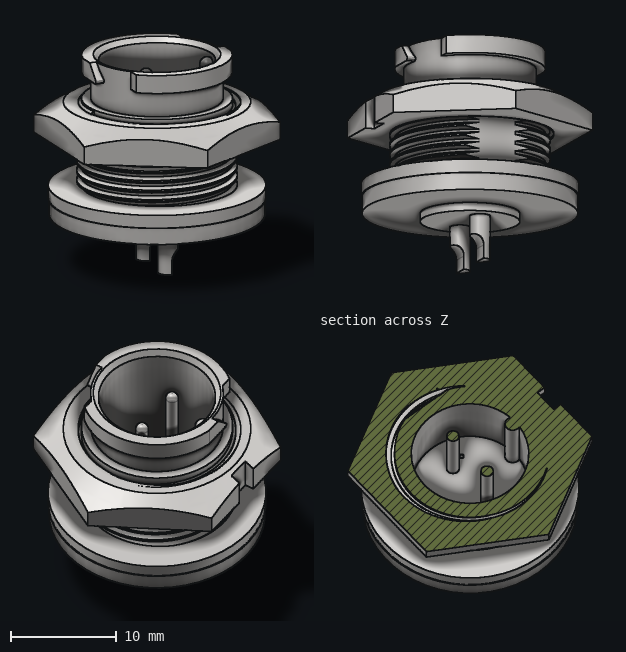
import cadquery as cq
import math

flange_height = 1.62
gasket_top = 2.9
nut_bottom = 7.69
nut_top = 11.07
body_top = 11.43
rim_bottom = 13.98
rim_top = 15.74
boss_height = 0.78
solder_pin_end = -5.06

flange_radius = 10.22
gasket_radius = 10.31
boss_radius = 4.71
barrel_radius = 6.27
rim_radius = 7.13
bore_radius = 5.53
bore_chamfer = 0.5
bore_floor = gasket_top

thread_root_radius = 7.15
thread_crest_radius = 7.6
thread_pitch = 0.94
thread_first_crest = 2.7
thread_end = 10.95
thread_root_width = 0.66
thread_crest_width = 0.16
thread_embed = 0.15
body_flat_x = -6.9

nut_across_flats = 20.32
nut_bore_radius = 7.46
nut_groove_radius = 7.93
nut_groove_width = 0.55
nut_groove_exit_angle = 95
nut_face_radius = 8.87
nut_cone_angle = 30
nut_slot_width = 2.36
nut_slot_floor = 9.27

rim_flat_offset = 6.96
rim_gap_edge = 4.6
ramp_tip_x = 1.5
ramp_tip_height = 0.25
ramp_tip_radius = 0.15

pin_spacing = 5.08
contact_radius = 0.6
contact_top = 13.67
solder_pin_radius = 0.97
solder_cup_start = -2.65
solder_cup_radius = 1.1
key_radius = 0.74
key_offset = 5.22
key_top = 14.85
pin_embed = 0.5
dome_share = 0.98

mark_radius = 0.2
mark_depth = 0.1
mark_position = (-3.06, 1.5)


def cylinder(radius, z_low, z_high):
    return cq.Workplane("XY").workplane(offset=z_low).circle(radius).extrude(z_high - z_low)


def domed_pin(x, y, radius, z_low, z_high):
    """Round pin with a nearly hemispherical top."""
    pin = cylinder(radius, z_low, z_high).faces(">Z").edges().fillet(radius * dome_share)
    return pin.translate((x, y, 0))


def thread_form(wall_radius, crest_radius, wall_width, z_start, z_end):
    """Right-handed helical thread form that starts on the +X side and widens towards the axis."""
    helix = cq.Wire.makeHelix(thread_pitch, z_end - z_start, wall_radius)
    inner = wall_radius - thread_embed
    slope = (wall_width - thread_crest_width) / 2 / (crest_radius - wall_radius)
    half_crest = thread_crest_width / 2
    half_inner = half_crest + slope * (crest_radius - inner)
    profile = (
        cq.Workplane("XZ")
        .moveTo(inner, -half_inner)
        .lineTo(crest_radius, -half_crest)
        .lineTo(crest_radius, half_crest)
        .lineTo(inner, half_inner)
        .close()
    )
    return profile.sweep(cq.Workplane(obj=helix), isFrenet=True).translate((0, 0, z_start))


def threaded_body():
    z_start = thread_first_crest - thread_pitch
    ridge = thread_form(thread_root_radius, thread_crest_radius, thread_root_width, z_start, thread_end)
    body = cylinder(thread_root_radius, flange_height, body_top).union(ridge)
    size = 2 * thread_crest_radius
    keep = cq.Workplane("XY").box(size, 2 * size, body_top - flange_height, centered=(False, True, False))
    return body.intersect(keep.translate((body_flat_x, 0, flange_height)))


def nut_groove():
    """Internal thread of the nut, running out through both end faces."""
    turns = math.ceil((nut_top - nut_bottom) / thread_pitch)
    z_start = nut_top - turns * thread_pitch
    z_end = nut_top + thread_pitch / 2
    groove = thread_form(nut_bore_radius, nut_groove_radius, nut_groove_width, z_start, z_end)
    return groove.rotate((0, 0, 0), (0, 0, 1), nut_groove_exit_angle)


def nut():
    corner_radius = nut_across_flats / math.sqrt(3)
    height = nut_top - nut_bottom
    drop = (corner_radius - nut_face_radius) * math.tan(math.radians(nut_cone_angle))
    hexagon = cq.Workplane("XY").polygon(6, 2 * corner_radius).extrude(height)
    cone = (
        cq.Workplane("XZ")
        .lineTo(corner_radius, 0)
        .lineTo(corner_radius, height - drop)
        .lineTo(nut_face_radius, height)
        .lineTo(0, height)
        .close()
        .revolve(360, (0, 0, 0), (0, 1, 0))
    )
    slot = (
        cq.Workplane("XY")
        .box(nut_slot_width, nut_across_flats, height, centered=(True, False, False))
        .translate((0, nut_slot_floor, 0))
    )
    blank = hexagon.intersect(cone).cut(slot).translate((0, 0, nut_bottom))
    return blank.cut(cylinder(nut_bore_radius, nut_bottom, nut_top)).cut(nut_groove())


def rim_gap():
    """Cutter for one bayonet entry: a ramp on one end and a plain face on the other."""
    tip_z = rim_bottom + ramp_tip_height
    outside = 2 * rim_radius
    gap = (
        cq.Workplane("XZ")
        .workplane(offset=rim_gap_edge)
        .moveTo(0, rim_top)
        .lineTo(ramp_tip_x, tip_z)
        .lineTo(ramp_tip_x - ramp_tip_height, rim_bottom)
        .lineTo(outside, rim_bottom)
        .lineTo(outside, rim_top)
        .close()
        .extrude(outside)
    )
    gap = gap.edges(cq.selectors.NearestToPointSelector((ramp_tip_x, -rim_gap_edge - rim_radius, tip_z)))
    return gap.fillet(ramp_tip_radius)


def bayonet_rim():
    height = rim_top - rim_bottom
    flats = cq.Workplane("XY").box(2 * rim_radius, 2 * rim_flat_offset, height, centered=(True, True, False))
    rim = cylinder(rim_radius, rim_bottom, rim_top).intersect(flats.translate((0, 0, rim_bottom)))
    gap = rim_gap()
    for angle in (0, 180):
        rim = rim.cut(gap.rotate((0, 0, 0), (0, 0, 1), angle))
    return rim


def bore():
    """Cutter for the bore, its chamfered mouth and the small round mark in its floor."""
    straight = cylinder(bore_radius, bore_floor, rim_top)
    mouth = (
        cq.Workplane("XY")
        .workplane(offset=rim_top)
        .circle(bore_radius + bore_chamfer)
        .workplane(offset=-bore_chamfer)
        .circle(bore_radius)
        .loft()
    )
    mark = cylinder(mark_radius, bore_floor - mark_depth, bore_floor).translate((*mark_position, 0))
    return straight.union(mouth).union(mark)


def solder_pin(x):
    """Solder tail with its +Y half cut away towards the end."""
    pin = cylinder(solder_pin_radius, solder_pin_end, 0)
    cut = (
        cq.Workplane("YZ")
        .moveTo(0, solder_pin_end)
        .lineTo(0, solder_cup_start - solder_cup_radius)
        .radiusArc((solder_cup_radius, solder_cup_start), solder_cup_radius)
        .lineTo(solder_cup_radius, solder_pin_end)
        .close()
        .extrude(solder_pin_radius, both=True)
    )
    return pin.cut(cut).translate((x, 0, 0))


def shell():
    """Flange, gasket, boss, threaded body, barrel and rim around the open bore."""
    return (
        cylinder(flange_radius, 0, flange_height)
        .union(cylinder(gasket_radius, flange_height, gasket_top))
        .union(cylinder(boss_radius, -boss_height, 0))
        .union(cylinder(barrel_radius, gasket_top, rim_top))
        .union(bayonet_rim())
        .union(threaded_body())
        .cut(bore())
    )


result = shell()
for pin_x in (-pin_spacing / 2, pin_spacing / 2):
    result = result.union(solder_pin(pin_x))
    result = result.union(domed_pin(pin_x, 0, contact_radius, bore_floor - pin_embed, contact_top))
result = result.union(domed_pin(0, key_offset, key_radius, bore_floor - pin_embed, key_top))
result = cq.Workplane(result.union(nut()).solids().val())